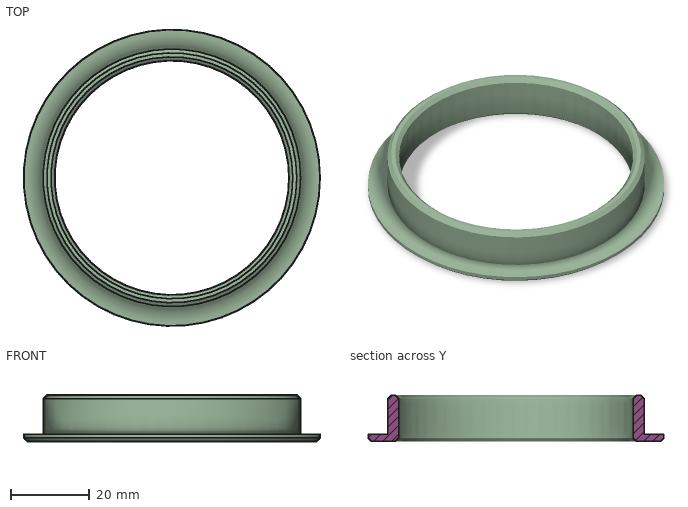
import cadquery as cq

flange_diameter = 76.0
sleeve_diameter = 66.0
bore_diameter = 60.0
total_height = 12.0
flange_thickness = 2.0
chamfer = 1.0

flange_radius = flange_diameter / 2
sleeve_radius = sleeve_diameter / 2
bore_radius = bore_diameter / 2

section = [
    (bore_radius + chamfer, 0),
    (flange_radius - chamfer, 0),
    (flange_radius, chamfer),
    (flange_radius, flange_thickness),
    (sleeve_radius, flange_thickness),
    (sleeve_radius, total_height - chamfer),
    (sleeve_radius - chamfer, total_height),
    (bore_radius + chamfer, total_height),
    (bore_radius, total_height - chamfer),
    (bore_radius, chamfer),
]

result = cq.Workplane("XZ").polyline(section).close().revolve(360, (0, 0), (0, 1))